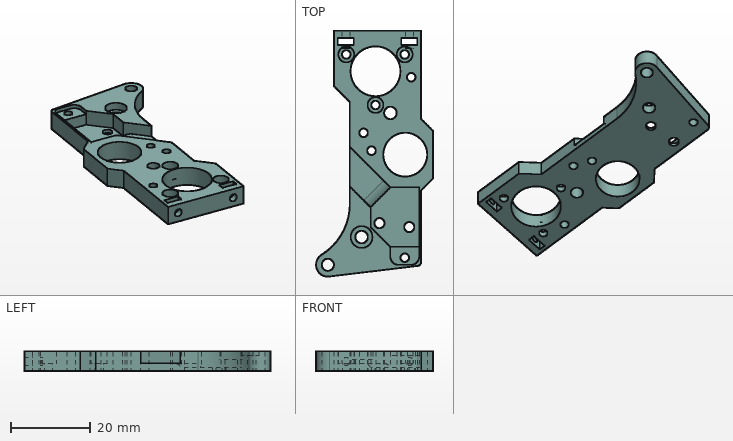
import cadquery as cq
import math

PLATE_THICKNESS = 5.0
OVERALL_LENGTH = 62.0

LUG_CENTER = (-12.0, -48.75)
LUG_RADIUS = 3.0
LUG_HOLE_DIAMETER = 3.0
FLANK_RADIUS = 15.0
CORNER_POINT = (11.5, -48.95)
CORNER_RADIUS = 1.0

TOP_EDGE = LUG_CENTER[1] - LUG_RADIUS + OVERALL_LENGTH
UPPER_LEFT_EDGE = -10.5
LOWER_LEFT_EDGE = -6.5
LEFT_STEP_START = -3.75
RIGHT_EDGE = CORNER_POINT[0]

UPPER_BORE_DIAMETER = 12.5
LOWER_BORE_CENTER = (7.5, -21.0)
LOWER_BORE_DIAMETER = 11.0

BULGE_EDGE = LOWER_BORE_CENTER[0] + 7.0
BULGE_HALF_LENGTH = 6.0
BULGE_WIDTH = BULGE_EDGE - RIGHT_EDGE

SCREW_CIRCLE_RADIUS = 8.5
SCREW_ANGLES = (30, 150, 270)
SCREW_HEAD_DIAMETER = 4.0
SCREW_HEAD_DEPTH = 3.0

SMALL_HOLE_DIAMETER = 2.1
SMALL_HOLE_CENTERS = [(9.0, -1.5), (-3.0, -15.5), (-1.0, -20.0)]
LARGE_HOLE_DIAMETER = 3.1
LARGE_HOLE_CENTER = (3.75, -10.5)
POCKET_HOLE_DIAMETER = 2.5
POCKET_HOLE_CENTERS = [(1.0, -38.25), (8.5, -39.25)]

FOOT_SCREW_CENTER = (-3.5, -41.75)
FOOT_SCREW_HEAD_DIAMETER = 5.5
FOOT_SCREW_HEAD_DEPTH = 2.0

NUT_SLOT_CENTERS_X = (-7.5, 8.5)
NUT_SLOT_CENTER_Y = 7.5
NUT_SLOT_WIDTH = 4.0
NUT_SLOT_LENGTH = 1.65
EDGE_SCREW_DIAMETER = 2.0
EDGE_SCREW_DEPTH = 4.5

POCKET_DEPTH = 4.0
POCKET_LEFT = -1.25
POCKET_WALL = 0.5
POCKET_RIGHT = RIGHT_EDGE - POCKET_WALL
POCKET_TOP = -29.25
POCKET_BOTTOM = -44.25
POCKET_CORNER = 5.0
SHELF_LEFT = POCKET_LEFT + POCKET_CORNER
SHELF_DEPTH = 1.0
SHELF_BOTTOM = -48.75
SHELF_CORNER_RADIUS = 2.0
SHELF_HOLE_CENTER = ((SHELF_LEFT + POCKET_RIGHT) / 2, -46.95)

CHANNEL_DEPTH = 3.0
CHANNEL_WIDTH = POCKET_CORNER * math.sqrt(2)
RAMP_LENGTH = POCKET_CORNER / 2


def lug_tangent_point():
    """Point where the bottom edge, running from the corner point, touches the lug."""
    dx = CORNER_POINT[0] - LUG_CENTER[0]
    dy = CORNER_POINT[1] - LUG_CENTER[1]
    angle = math.atan2(dy, dx) - math.acos(LUG_RADIUS / math.hypot(dx, dy))
    return lug_point(angle)


def lug_point(angle):
    """Point on the rim of the lug at the given angle."""
    x = LUG_CENTER[0] + LUG_RADIUS * math.cos(angle)
    y = LUG_CENTER[1] + LUG_RADIUS * math.sin(angle)
    return (x, y)


def make_plate():
    left_step = LOWER_LEFT_EDGE - UPPER_LEFT_EDGE
    bulge_top = LOWER_BORE_CENTER[1] + BULGE_HALF_LENGTH
    bulge_bottom = LOWER_BORE_CENTER[1] - BULGE_HALF_LENGTH

    flank_x = LOWER_LEFT_EDGE - FLANK_RADIUS
    center_distance = FLANK_RADIUS + LUG_RADIUS
    flank_y = LUG_CENTER[1] + math.sqrt(center_distance**2 - (LUG_CENTER[0] - flank_x) ** 2)
    flank_angle = math.atan2(flank_y - LUG_CENTER[1], flank_x - LUG_CENTER[0])
    middle_angle = (flank_angle - math.pi) / 2
    flank_middle = (
        flank_x + FLANK_RADIUS * math.cos(middle_angle),
        flank_y + FLANK_RADIUS * math.sin(middle_angle),
    )

    plate = (
        cq.Workplane("XY")
        .moveTo(UPPER_LEFT_EDGE, TOP_EDGE)
        .lineTo(RIGHT_EDGE, TOP_EDGE)
        .lineTo(RIGHT_EDGE, bulge_top + BULGE_WIDTH)
        .lineTo(BULGE_EDGE, bulge_top)
        .lineTo(BULGE_EDGE, bulge_bottom)
        .lineTo(RIGHT_EDGE, bulge_bottom - BULGE_WIDTH)
        .lineTo(*CORNER_POINT)
        .lineTo(*lug_tangent_point())
        .threePointArc(lug_point(math.pi), lug_point(flank_angle))
        .threePointArc(flank_middle, (LOWER_LEFT_EDGE, flank_y))
        .lineTo(LOWER_LEFT_EDGE, LEFT_STEP_START - left_step)
        .lineTo(UPPER_LEFT_EDGE, LEFT_STEP_START)
        .close()
        .extrude(PLATE_THICKNESS)
    )
    corner_edge = cq.selectors.NearestToPointSelector((*CORNER_POINT, PLATE_THICKNESS / 2))
    return plate.edges(corner_edge).fillet(CORNER_RADIUS)


def top_plane():
    return cq.Workplane("XY", origin=(0, 0, PLATE_THICKNESS))


def through_holes(centers, diameter):
    return top_plane().pushPoints(centers).circle(diameter / 2).extrude(-PLATE_THICKNESS)


def counterbored_holes(centers, diameter, head_diameter, head_depth):
    heads = top_plane().pushPoints(centers).circle(head_diameter / 2).extrude(-head_depth)
    return heads.union(through_holes(centers, diameter))


def make_nut_slots():
    centers = [(x, NUT_SLOT_CENTER_Y) for x in NUT_SLOT_CENTERS_X]
    slots = top_plane().pushPoints(centers).rect(NUT_SLOT_WIDTH, NUT_SLOT_LENGTH)
    return slots.extrude(-PLATE_THICKNESS)


def make_edge_screw_holes():
    centers = [(x, PLATE_THICKNESS / 2) for x in NUT_SLOT_CENTERS_X]
    top_face = cq.Workplane("XZ", origin=(0, TOP_EDGE, 0))
    return top_face.pushPoints(centers).circle(EDGE_SCREW_DIAMETER / 2).extrude(EDGE_SCREW_DEPTH)


def make_pocket():
    outline = [
        (SHELF_LEFT, POCKET_TOP),
        (POCKET_RIGHT, POCKET_TOP),
        (POCKET_RIGHT, POCKET_BOTTOM),
        (SHELF_LEFT, POCKET_BOTTOM),
        (POCKET_LEFT, POCKET_BOTTOM + POCKET_CORNER),
        (POCKET_LEFT, POCKET_TOP - POCKET_CORNER),
    ]
    return top_plane().polyline(outline).close().extrude(-POCKET_DEPTH)


def make_shelf():
    width = POCKET_RIGHT - SHELF_LEFT
    length = POCKET_BOTTOM - SHELF_BOTTOM
    shelf = (
        top_plane()
        .center((SHELF_LEFT + POCKET_RIGHT) / 2, (POCKET_BOTTOM + SHELF_BOTTOM) / 2)
        .rect(width, length)
        .extrude(-SHELF_DEPTH)
    )
    return shelf.edges("|Z and <Y").fillet(SHELF_CORNER_RADIUS)


def make_channel():
    """Side profile of the channel and ramp, swept square across the diagonal."""
    pocket_floor = PLATE_THICKNESS - POCKET_DEPTH
    channel_floor = PLATE_THICKNESS - CHANNEL_DEPTH
    drop = channel_floor - pocket_floor
    ramp_radius = (RAMP_LENGTH**2 + drop**2) / (2 * drop)
    half_angle = math.asin(RAMP_LENGTH / ramp_radius) / 2
    ramp_middle = (
        -RAMP_LENGTH + ramp_radius * math.sin(half_angle),
        channel_floor - ramp_radius * (1 - math.cos(half_angle)),
    )

    pocket_side_middle = (
        POCKET_LEFT + POCKET_CORNER / 2,
        POCKET_TOP - POCKET_CORNER / 2,
    )
    reach = (pocket_side_middle[0] - LOWER_LEFT_EDGE) * math.sqrt(2) + CHANNEL_WIDTH
    profile_plane = cq.Plane(
        origin=(*pocket_side_middle, 0),
        xDir=(1, -1, 0),
        normal=(-1, -1, 0),
    )
    return (
        cq.Workplane(profile_plane)
        .moveTo(0, PLATE_THICKNESS)
        .lineTo(-reach, PLATE_THICKNESS)
        .lineTo(-reach, channel_floor)
        .lineTo(-RAMP_LENGTH, channel_floor)
        .threePointArc(ramp_middle, (0, pocket_floor))
        .close()
        .extrude(CHANNEL_WIDTH / 2, both=True)
    )


screw_centers = [
    (
        SCREW_CIRCLE_RADIUS * math.cos(math.radians(angle)),
        SCREW_CIRCLE_RADIUS * math.sin(math.radians(angle)),
    )
    for angle in SCREW_ANGLES
]

cuts = [
    through_holes([(0, 0)], UPPER_BORE_DIAMETER),
    through_holes([LOWER_BORE_CENTER], LOWER_BORE_DIAMETER),
    through_holes([LUG_CENTER], LUG_HOLE_DIAMETER),
    through_holes([LARGE_HOLE_CENTER], LARGE_HOLE_DIAMETER),
    through_holes(SMALL_HOLE_CENTERS, SMALL_HOLE_DIAMETER),
    through_holes([SHELF_HOLE_CENTER], SMALL_HOLE_DIAMETER),
    through_holes(POCKET_HOLE_CENTERS, POCKET_HOLE_DIAMETER),
    counterbored_holes(screw_centers, SMALL_HOLE_DIAMETER, SCREW_HEAD_DIAMETER, SCREW_HEAD_DEPTH),
    counterbored_holes(
        [FOOT_SCREW_CENTER], LARGE_HOLE_DIAMETER, FOOT_SCREW_HEAD_DIAMETER, FOOT_SCREW_HEAD_DEPTH
    ),
    make_nut_slots(),
    make_edge_screw_holes(),
    make_pocket(),
    make_shelf(),
    make_channel(),
]

result = make_plate()
for cut in cuts:
    result = result.cut(cut)